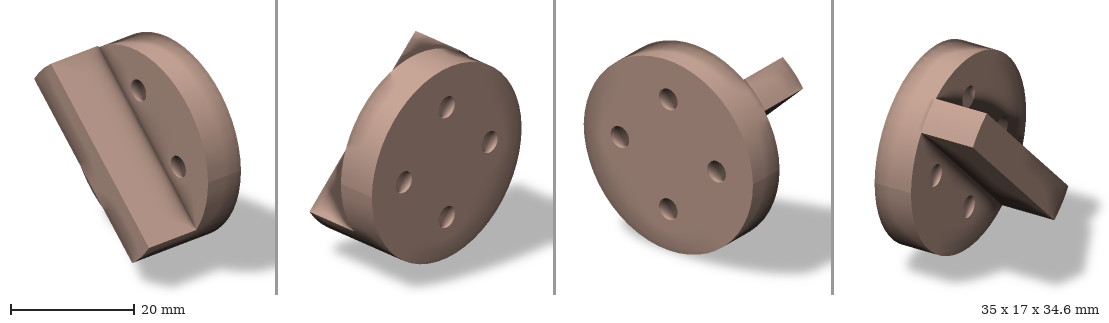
import cadquery as cq

disc_diameter = 35.0
disc_upper_height = 17.15
disc_thickness = 7.0
tongue_length = 10.0
tongue_width = 6.12
tongue_angle = -44.0
hole_diameter = 3.8
hole_circle_radius = 10.0
hole_count = 4

disc_radius = disc_diameter / 2


def disc():
    """Round base of two arcs meeting at Z = 0, its front on the XZ plane and its body towards +Y."""
    return (
        cq.Workplane("XZ")
        .moveTo(-disc_radius, 0)
        .threePointArc((0, disc_upper_height), (disc_radius, 0))
        .threePointArc((0, -disc_radius), (-disc_radius, 0))
        .close()
        .extrude(-disc_thickness)
    )


def tongue():
    """Diagonal bar on the front face, its ends rounded to the disc radius."""
    bar = (
        cq.Workplane("XZ")
        .transformed(rotate=(0, 0, tongue_angle))
        .rect(disc_diameter, tongue_width)
        .extrude(tongue_length)
    )
    rim = cq.Workplane("XZ").circle(disc_radius).extrude(tongue_length)
    return bar.intersect(rim)


def holes():
    """Ring of through-hole cutters, one on each side of the X and Z axes."""
    return (
        cq.Workplane("XZ")
        .polarArray(hole_circle_radius, 0, 360, hole_count)
        .circle(hole_diameter / 2)
        .extrude(-disc_thickness)
    )


result = disc().union(tongue()).cut(holes())